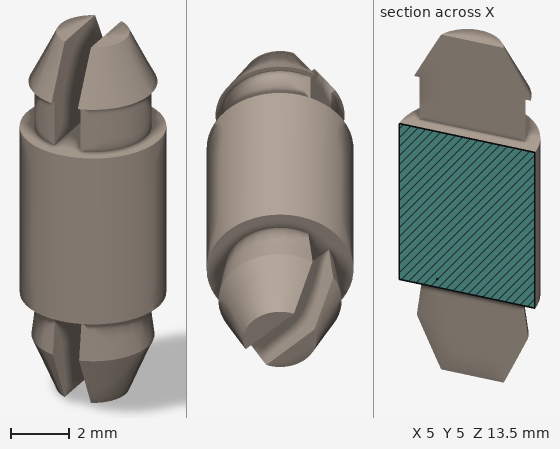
import cadquery as cq

body_diameter = 5.0
body_length = 6.3

tip_diameter = 2.5
slot_width = 1.0

upper_neck_diameter = 4.0
upper_neck_length = 1.7
upper_head_diameter = 4.4
upper_head_length = 1.9

lower_neck_diameter = 3.8
lower_flare_length = 1.6
lower_shoulder_diameter = 4.2
lower_tip_length = 2.0

upper_head_z = body_length + upper_neck_length
top_z = upper_head_z + upper_head_length
lower_shoulder_z = -lower_flare_length
bottom_z = lower_shoulder_z - lower_tip_length


def turned_blank():
    """Revolve the half profile of the body and both snaps about Z."""
    profile = [
        (0, bottom_z),
        (tip_diameter / 2, bottom_z),
        (lower_shoulder_diameter / 2, lower_shoulder_z),
        (lower_neck_diameter / 2, 0),
        (body_diameter / 2, 0),
        (body_diameter / 2, body_length),
        (upper_neck_diameter / 2, body_length),
        (upper_neck_diameter / 2, upper_head_z),
        (upper_head_diameter / 2, upper_head_z),
        (tip_diameter / 2, top_z),
        (0, top_z),
    ]
    return cq.Workplane("XZ").polyline(profile).close().revolve(360, (0, 0, 0), (0, 1, 0))


def slot(z_low, z_high):
    """Slot along Y that splits a snap into two prongs between two heights."""
    return (
        cq.Workplane("XY")
        .workplane(offset=z_low)
        .rect(slot_width, body_diameter)
        .extrude(z_high - z_low)
    )


result = turned_blank().cut(slot(body_length, top_z)).cut(slot(bottom_z, 0))